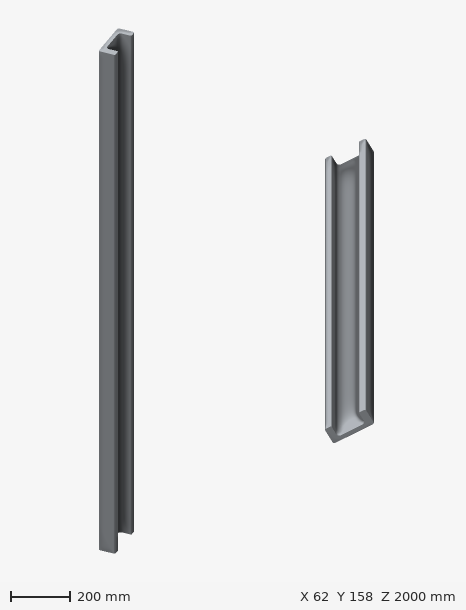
import cadquery as cq

length = 2000.0
flange_width = 62.0
section_depth = 158.0
web_thickness = 15.0
flange_thickness = 25.0
outer_radius = 5.0
tip_radius = 5.0
root_radius = 12.0

opening_depth = section_depth - 2 * flange_thickness

bar = cq.Workplane("XY").box(flange_width, section_depth, length)

opening = (
    cq.Workplane("XY")
    .box(flange_width, opening_depth, length)
    .edges("|Z and <X")
    .fillet(root_radius)
    .translate((web_thickness, 0, 0))
)
channel = bar.cut(opening)

channel = channel.edges("(|Z and >X) and (not (<Y or >Y))").fillet(tip_radius)

result = channel.edges("|Z and (<Y or >Y)").fillet(outer_radius)